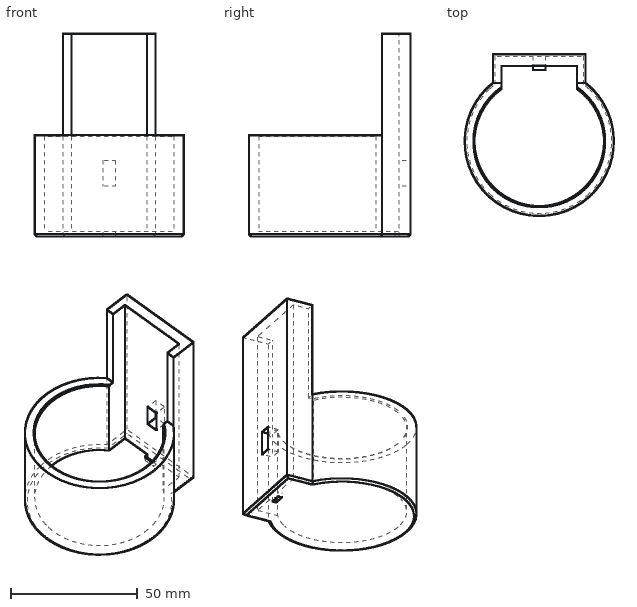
import cadquery as cq
import math

cup_radius = 29.4
bore_radius = 25.5
cup_height = 40
floor_thickness = 2.0
rim_chamfer = 0.5
base_chamfer = 1.0

plate_width = 36.6
plate_height = 80
plate_back = 34.4
back_thickness = 4.6
side_thickness = 3.4
channel_width = plate_width - 2 * side_thickness
channel_back = plate_back - back_thickness
plate_front = math.sqrt(cup_radius**2 - (plate_width / 2) ** 2)

opening_width = 4.8
window_bottom = 20
window_height = 10.0
floor_slot_depth = 1.6


def box(width, y_front, y_back, z_bottom, z_top):
    """Block centred on X between the given Y and Z limits."""
    return (
        cq.Workplane("XY", origin=(0, (y_front + y_back) / 2, z_bottom))
        .box(width, y_back - y_front, z_top - z_bottom, centered=(True, True, False))
    )


def outer_body():
    """Solid cup and plate with one chamfer around the whole base."""
    cup = cq.Workplane("XY").circle(cup_radius).extrude(cup_height)
    lower_plate = box(plate_width, 0, plate_back, 0, cup_height)
    base = cup.union(lower_plate).faces("<Z").chamfer(base_chamfer)
    upper_plate = box(plate_width, plate_front, plate_back, cup_height, plate_height)
    return base.union(upper_plate)


def bore():
    """Round cavity that flares at the rim."""
    rim_radius = bore_radius + rim_chamfer
    profile = [
        (0, floor_thickness),
        (bore_radius, floor_thickness),
        (bore_radius, cup_height - rim_chamfer),
        (rim_radius, cup_height),
        (0, cup_height),
    ]
    return cq.Workplane("XZ").polyline(profile).close().revolve(360, (0, 0, 0), (0, 1, 0))


channel = box(channel_width, 0, channel_back, floor_thickness, plate_height)
window = box(opening_width, channel_back, plate_back, window_bottom, window_bottom + window_height)
floor_slot = box(opening_width, channel_back - floor_slot_depth, channel_back, 0, floor_thickness)

result = outer_body().cut(bore()).cut(channel).cut(window).cut(floor_slot)